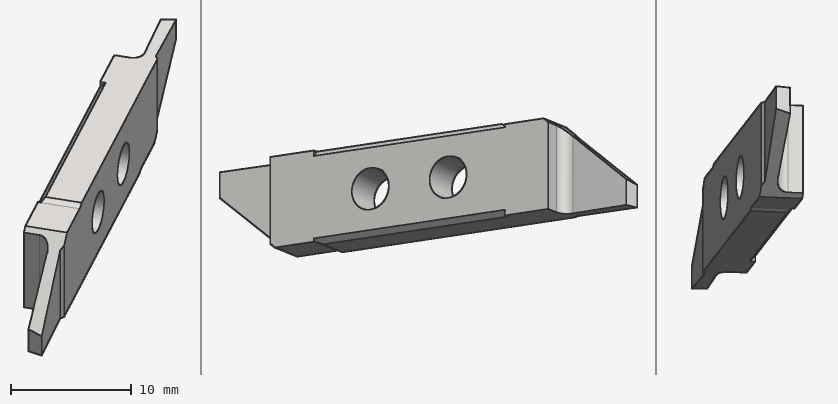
import cadquery as cq
import math

thickness = 3.6
length = 40.0
height = 8.0
half_length = length / 2
half_height = height / 2
left = -thickness / 2
right = thickness / 2

tip_height = 1.9
slope_run = 7.0
step_height = 0.2
step_start = 9.25
step_run = 0.6
step_radius = (step_run**2 + step_height**2) / (2 * step_height)

shoulder_distance = 6.55
shoulder_radius = 1.0
tip_left = left + 2.2
tip_right = left + 3.45
neck_left = left + 2.3
neck_right = left + 3.35
tip_angle = 15.0
tip_setback = (tip_right - tip_left) * math.tan(math.radians(tip_angle))
relief_start = 5.75
relief_end = 6.1

edge_chamfer = 0.5
chamfer_half_length = step_start
hole_diameter = 3.55
hole_spacing = 7.5


def side_body():
    """Full-thickness bar with opposite sloping ends and a concave step beside each."""
    outline = cq.Workplane("YZ")
    arc_half_angle = math.atan2(step_height, step_run)
    arc_mid_y = step_start - step_radius * math.sin(arc_half_angle)
    arc_mid_z = half_height - step_height + step_radius * (1 - math.cos(arc_half_angle))
    outline = outline.moveTo(-half_length, -half_height)
    for turn in (-1, 1):
        outline = (
            outline.lineTo(turn * half_length, turn * (half_height - tip_height))
            .lineTo(turn * (half_length - slope_run), turn * (step_height - half_height))
            .lineTo(turn * step_start, turn * (step_height - half_height))
            .threePointArc(
                (turn * arc_mid_y, -turn * arc_mid_z),
                (turn * (step_start - step_run), -turn * half_height),
            )
            .lineTo(-turn * half_length, -turn * half_height)
        )
    return outline.close().extrude(right, both=True)


def plan_body():
    """Bar with a thin tapered blade at each end, seen along Z."""
    shoulder_y = half_length - shoulder_distance
    arc_top = shoulder_y + shoulder_radius
    arc_left = neck_left - shoulder_radius
    arc_reach = shoulder_radius * math.sqrt(0.5)
    rear = (
        cq.Workplane("XY", origin=(0, 0, -half_height))
        .moveTo(left, 0)
        .lineTo(left, shoulder_y)
        .lineTo(arc_left, shoulder_y)
        .threePointArc((arc_left + arc_reach, arc_top - arc_reach), (neck_left, arc_top))
        .lineTo(tip_left, half_length - tip_setback)
        .lineTo(tip_right, half_length)
        .lineTo(neck_right, half_length - relief_start)
        .lineTo(right, half_length - relief_end)
        .lineTo(right, 0)
        .close()
        .extrude(height)
    )
    return rear.union(rear.mirror("XZ"))


def chamfer_cutter(side):
    """Wedge along the upper (+1) or lower (-1) edge of the left face."""
    edge_z = side * half_height
    corners = [
        (left, edge_z),
        (left + edge_chamfer, edge_z),
        (left, edge_z - side * edge_chamfer),
    ]
    return cq.Workplane("XZ").polyline(corners).close().extrude(chamfer_half_length, both=True)


def cross_holes():
    """Two round holes through the thickness."""
    centers = [(-hole_spacing / 2, 0), (hole_spacing / 2, 0)]
    return (
        cq.Workplane("YZ")
        .pushPoints(centers)
        .circle(hole_diameter / 2)
        .extrude(thickness, both=True)
    )


result = side_body().intersect(plan_body())
for edge_side in (1, -1):
    result = result.cut(chamfer_cutter(edge_side))
result = result.cut(cross_holes())